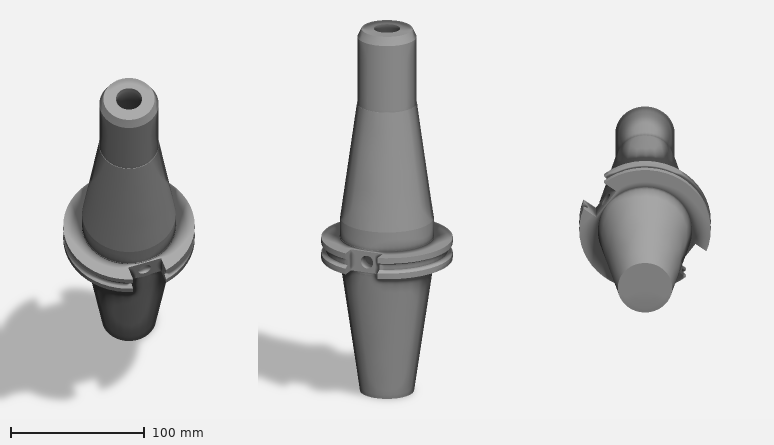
import cadquery as cq

total_height = 285.8
taper_height = 102.3
flange_bottom = 104.5
flange_top = 121.2
collar_height = 1.0
body_top = 136.5
nose_bottom = 227.0
nose_chamfer_height = 6.3

taper_small_diameter = 40.5
taper_large_diameter = 70.3
flange_diameter = 98.3
groove_diameter = 91.2
collar_diameter = 70.5
body_diameter = 70.0
cone_top_diameter = 45.0
nose_diameter = 44.3
nose_tip_diameter = 38.3

groove_mouth_height = 7.7
groove_floor_height = 4.3

slot_width = 26.0
left_slot_floor_offset = 37.1
right_slot_floor_offset = 36.0
slot_hole_diameter = 10.0
slot_hole_depth = 8.5

bore_diameter = 19.5
bore_depth = 43.0

flange_middle = (flange_bottom + flange_top) / 2


def make_body():
    """Taper, flange collar, tapered body and nose as one revolved outline."""
    diameter_and_height = [
        (0, 0),
        (taper_small_diameter, 0),
        (taper_large_diameter, taper_height),
        (taper_large_diameter, flange_bottom),
        (flange_diameter, flange_bottom),
        (flange_diameter, flange_middle - groove_mouth_height / 2),
        (groove_diameter, flange_middle - groove_floor_height / 2),
        (groove_diameter, flange_middle + groove_floor_height / 2),
        (flange_diameter, flange_middle + groove_mouth_height / 2),
        (flange_diameter, flange_top),
        (collar_diameter, flange_top),
        (collar_diameter, flange_top + collar_height),
        (body_diameter, flange_top + collar_height),
        (body_diameter, body_top),
        (cone_top_diameter, nose_bottom),
        (nose_diameter, nose_bottom),
        (nose_diameter, total_height - nose_chamfer_height),
        (nose_tip_diameter, total_height),
        (0, total_height),
    ]
    outline = [(diameter / 2, height) for diameter, height in diameter_and_height]
    return cq.Workplane("XZ").polyline(outline).close().revolve(360, (0, 0), (0, 1))


def make_drive_slot(side, floor_offset):
    """Cutter for one drive slot and its hole; side is -1 or +1 along X."""
    floor_x = side * floor_offset
    slot_depth = flange_diameter / 2 - floor_offset
    slot = cq.Workplane("XY").box(slot_depth, slot_width, flange_top - flange_bottom)
    slot = slot.translate((floor_x + side * slot_depth / 2, 0, flange_middle))
    hole = (
        cq.Workplane("YZ", origin=(floor_x, 0, flange_middle))
        .circle(slot_hole_diameter / 2)
        .extrude(-side * slot_hole_depth)
    )
    return slot.union(hole)


def make_bore():
    """Cutter for the blind bore that opens at the nose tip."""
    return (
        cq.Workplane("XY", origin=(0, 0, total_height))
        .circle(bore_diameter / 2)
        .extrude(-bore_depth)
    )


result = make_body().cut(make_bore())
result = result.cut(make_drive_slot(-1, left_slot_floor_offset))
result = result.cut(make_drive_slot(1, right_slot_floor_offset))